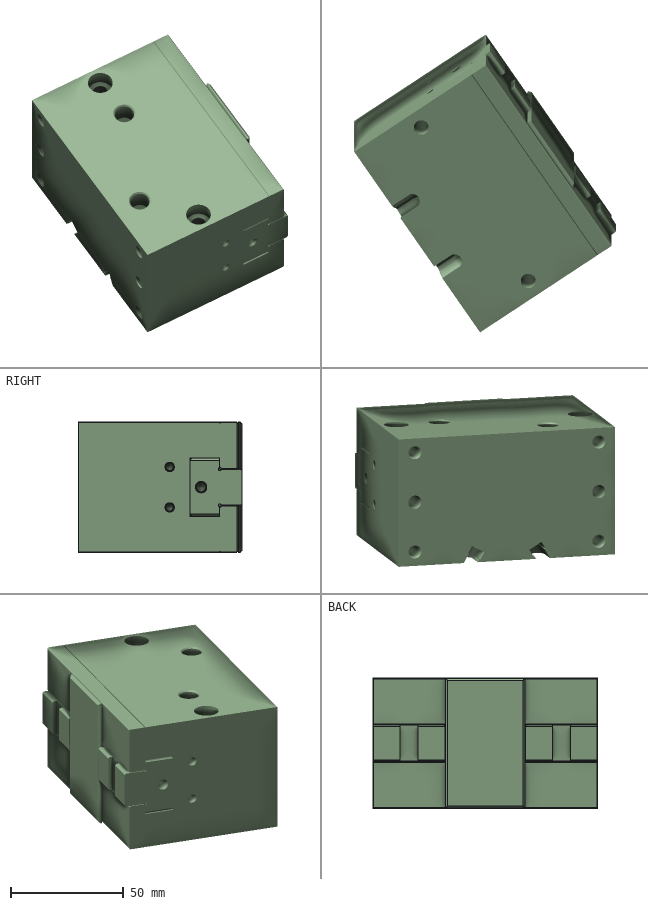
import cadquery as cq
import math


LENGTH = 100.0
DEPTH = 73.0
HEIGHT = 58.0

RAIL_FRONT_Y = 70.8
RAIL_BACK_Y = 63.0
SLOT_FLOOR_Y = 49.8
HEAD_HEIGHT = 26.0
NECK_HEIGHT = 16.0
NECK_GAP = 0.2
RAIL_CORNER_CHAMFER = 0.8
RAIL_EDGE_CHAMFER = 0.4

PLATE_LENGTH = 35.6
PLATE_FRONT_CHAMFER = 1.0
PLATE_BACK_CHAMFER = 0.6

JAW_LENGTH = 32.0
JAW_EDGE_CHAMFER = 0.6
HEAD_END_CHAMFER = 1.0
HEAD_CORNER_CHAMFER = 0.8
RELIEF_SIZE = 0.4
KEYWAY_WIDTH = 8.0
KEYWAY_START = 12.0
JAW_HOLE_Y = 54.7
JAW_HOLE_DIAMETER = 4.2
JAW_HOLE_MOUTH = 5.0
JAW_HOLE_DEPTH = 10.0

FACE_HOLE_X = 42.5
FACE_HOLE_Z = 22.6
FACE_THREAD_DIAMETER = 5.0
FACE_HOLE_DIAMETER = 6.0
FACE_HOLE_DEPTH = 12.0

BOLT_HOLE_Y = 31.0
BOLT_HOLE_DIAMETER = 6.6
BOLT_HEAD_DIAMETER = 11.0
BOLT_HEAD_DEPTH = 6.8

PORT_DIAMETER = 8.6
PORT_MOUTH = 9.8
PORT_DEPTH = 9.0
PASSAGE_DIAMETER = 3.0
PASSAGE_DEPTH = 15.0
PORT_X = 22.5
LEFT_PORT_Y = 31.5
RIGHT_PORT_Y = 12.5
RIGHT_PASSAGE_SHIFT = -2.8

END_HOLE_Y = 40.7
END_HOLE_Z = 9.0
END_HOLE_DIAMETER = 3.3
END_HOLE_MOUTH = 4.1
END_HOLE_DEPTH = 10.0

SENSOR_X = 16.7
SENSOR_TILT = 30.0
SENSOR_WIDTH = 5.6
SENSOR_END_WIDTH = 6.5
SENSOR_SLOT_LENGTH = 6.9
SENSOR_END_LENGTH = 3.7
SENSOR_SLOT_DEPTH = 12.0

DRILL_POINT_ANGLE = 118.0


def box(x_range, y_range, z_range):
    """Box between two limits along each axis."""
    size = [high - low for low, high in (x_range, y_range, z_range)]
    corner = cq.Vector(x_range[0], y_range[0], z_range[0])
    return cq.Workplane(cq.Solid.makeBox(*size, corner))


def cylinder(start, direction, diameter, length):
    """Cylinder that runs from a start point along a direction."""
    return cq.Workplane(cq.Solid.makeCylinder(diameter / 2, length, cq.Vector(start), cq.Vector(direction)))


def drilled_hole(start, direction, diameter, depth, mouth=None):
    """Horizontal blind hole with a drill point, countersunk at 45 degrees if it has a mouth diameter."""
    radius = diameter / 2
    point_length = radius / math.tan(math.radians(DRILL_POINT_ANGLE / 2))
    outline = [(0, 0), (radius, 0), (radius, depth), (0, depth + point_length)]
    if mouth:
        mouth_radius = mouth / 2
        outline[1:2] = [(mouth_radius, 0), (radius, mouth_radius - radius)]
    axis = cq.Vector(direction)
    across = cq.Vector(0, 0, 1)
    plane = cq.Plane(origin=start, xDir=across, normal=across.cross(axis))
    return cq.Workplane(plane).polyline(outline).close().revolve(360, (0, 0), (0, 1))


def make_block():
    """Housing block with its rails and the T-slot between them."""
    half_length = LENGTH / 2
    half_height = HEIGHT / 2
    half_head = HEAD_HEIGHT / 2
    half_gap = NECK_HEIGHT / 2 + NECK_GAP
    block = box((-half_length, half_length), (0, RAIL_FRONT_Y), (-half_height, half_height))
    slot = (
        cq.Workplane("YZ", origin=(-half_length, 0, 0))
        .polyline([
            (SLOT_FLOOR_Y, 0),
            (SLOT_FLOOR_Y, half_head),
            (RAIL_BACK_Y, half_head),
            (RAIL_BACK_Y, half_gap + RAIL_CORNER_CHAMFER),
            (RAIL_BACK_Y + RAIL_CORNER_CHAMFER, half_gap),
            (RAIL_FRONT_Y - RAIL_EDGE_CHAMFER, half_gap),
            (RAIL_FRONT_Y, half_gap + RAIL_EDGE_CHAMFER),
            (RAIL_FRONT_Y, 0),
        ])
        .close()
        .extrude(LENGTH)
    )
    for cutter in (slot, rail_edge_chamfers()):
        block = block.cut(cutter).cut(cutter.mirror("XY"))
    return block


def rail_edge_chamfers():
    """Bevels along the outer back and front edges of the upper rail; the back one leaves a notch."""
    half_height = HEIGHT / 2
    bevels = cq.Workplane("YZ", origin=(-LENGTH / 2, 0, 0))
    for edge_y, inward in ((RAIL_BACK_Y, 1), (RAIL_FRONT_Y, -1)):
        bevels = bevels.polyline([
            (edge_y, half_height),
            (edge_y + inward * RAIL_EDGE_CHAMFER, half_height),
            (edge_y, half_height - RAIL_EDGE_CHAMFER),
        ]).close()
    return bevels.extrude(LENGTH)


def make_stop_plate():
    """Plate across the slot that joins the two rails, chamfered on its front and back edges."""
    half_plate = PLATE_LENGTH / 2
    plate = box((-half_plate, half_plate), (RAIL_FRONT_Y, DEPTH), (-HEIGHT / 2, HEIGHT / 2))
    return plate.faces(">Y").chamfer(PLATE_FRONT_CHAMFER).faces("<Y").chamfer(PLATE_BACK_CHAMFER)


def face_holes():
    """Two columns of holes in the mounting face: threaded, plain, threaded."""
    holes = []
    for x in (-FACE_HOLE_X, FACE_HOLE_X):
        holes.append(drilled_hole((x, 0, 0), (0, 1, 0), FACE_HOLE_DIAMETER, FACE_HOLE_DEPTH))
        for z in (-FACE_HOLE_Z, FACE_HOLE_Z):
            holes.append(drilled_hole(
                (x, 0, z), (0, 1, 0), FACE_THREAD_DIAMETER, FACE_HOLE_DEPTH, FACE_HOLE_DIAMETER
            ))
    return holes


def bolt_holes():
    """Through holes along Z, counterbored from the top."""
    holes = []
    for x in (-FACE_HOLE_X, FACE_HOLE_X):
        top = (x, BOLT_HOLE_Y, HEIGHT / 2)
        holes.append(cylinder(top, (0, 0, -1), BOLT_HOLE_DIAMETER, HEIGHT))
        holes.append(cylinder(top, (0, 0, -1), BOLT_HEAD_DIAMETER, BOLT_HEAD_DEPTH))
    return holes


def port(x, y, passage_shift):
    """Flat-bottomed port with a countersunk mouth and a narrow passage below it."""
    top = HEIGHT / 2
    countersink_depth = (PORT_MOUTH - PORT_DIAMETER) / 2
    countersink = cq.Workplane(cq.Solid.makeCone(
        PORT_MOUTH / 2, PORT_DIAMETER / 2, countersink_depth, cq.Vector(x, y, top), cq.Vector(0, 0, -1)
    ))
    bore = cylinder((x, y, top), (0, 0, -1), PORT_DIAMETER, PORT_DEPTH)
    passage = cylinder((x, y + passage_shift, top), (0, 0, -1), PASSAGE_DIAMETER, PASSAGE_DEPTH)
    return [countersink, bore, passage]


def end_holes():
    """Pair of threaded holes in each end face."""
    holes = []
    for side in (-1, 1):
        for z in (-END_HOLE_Z, END_HOLE_Z):
            start = (side * LENGTH / 2, END_HOLE_Y, z)
            holes.append(drilled_hole(
                start, (-side, 0, 0), END_HOLE_DIAMETER, END_HOLE_DEPTH, END_HOLE_MOUTH
            ))
    return holes


def slanted_slot(start, inward, width, length):
    """Slot of a given length along a slanted direction, with a round end inside the housing."""
    across = inward.cross(cq.Vector(0, 1, 0))
    straight_depth = SENSOR_SLOT_DEPTH - width / 2
    profile = (
        cq.Workplane(cq.Plane(origin=start, xDir=across, normal=inward))
        .moveTo(-width / 2, 0)
        .lineTo(width / 2, 0)
        .lineTo(width / 2, -straight_depth)
        .threePointArc((0, -SENSOR_SLOT_DEPTH), (-width / 2, -straight_depth))
        .close()
    )
    return profile.extrude(length)


def sensor_slots():
    """Slots from the bottom face, leaning towards the middle and wider at their inner end."""
    tilt = math.radians(SENSOR_TILT)
    slots = []
    for side in (-1, 1):
        mouth = cq.Vector(side * SENSOR_X, 0, -HEIGHT / 2)
        inward = cq.Vector(-side * math.sin(tilt), 0, math.cos(tilt))
        start = mouth - inward * SENSOR_WIDTH
        end_start = mouth + inward * (SENSOR_SLOT_LENGTH - SENSOR_END_LENGTH)
        slots.append(slanted_slot(start, inward, SENSOR_WIDTH, SENSOR_WIDTH + SENSOR_SLOT_LENGTH))
        slots.append(slanted_slot(end_start, inward, SENSOR_END_WIDTH, SENSOR_END_LENGTH))
    return slots


def make_housing():
    """Housing block with the stop plate and all its holes."""
    housing = make_block().union(make_stop_plate())
    ports = port(-PORT_X, LEFT_PORT_Y, 0) + port(PORT_X, RIGHT_PORT_Y, RIGHT_PASSAGE_SHIFT)
    for cutter in face_holes() + bolt_holes() + ports + end_holes() + sensor_slots():
        housing = housing.cut(cutter)
    return housing


def head_end_chamfers(outer_x, half_head):
    """Wedges that bevel the upper and lower edges of the head at the jaw's outer end."""
    wedge = (
        cq.Workplane("XZ", origin=(0, SLOT_FLOOR_Y, 0))
        .polyline([
            (outer_x, half_head),
            (outer_x + HEAD_END_CHAMFER, half_head),
            (outer_x, half_head - HEAD_END_CHAMFER),
        ])
        .close()
        .extrude(SLOT_FLOOR_Y - RAIL_BACK_Y)
    )
    return wedge.union(wedge.mirror("XY"))


def make_left_jaw():
    """T-shaped jaw whose outer end is flush with the housing."""
    outer_x = -LENGTH / 2
    half_head = HEAD_HEIGHT / 2
    half_neck = NECK_HEIGHT / 2
    half_outline = [
        (SLOT_FLOOR_Y, half_head - HEAD_CORNER_CHAMFER),
        (SLOT_FLOOR_Y + HEAD_CORNER_CHAMFER, half_head),
        (RAIL_BACK_Y, half_head),
        (RAIL_BACK_Y, half_neck + RELIEF_SIZE),
        (RAIL_BACK_Y - RELIEF_SIZE, half_neck + RELIEF_SIZE),
        (RAIL_BACK_Y - RELIEF_SIZE, half_neck - RELIEF_SIZE),
        (RAIL_BACK_Y + RELIEF_SIZE, half_neck - RELIEF_SIZE),
        (RAIL_BACK_Y + RELIEF_SIZE, half_neck),
        (DEPTH - JAW_EDGE_CHAMFER, half_neck),
        (DEPTH, half_neck - JAW_EDGE_CHAMFER),
    ]
    other_half = [(y, -z) for y, z in reversed(half_outline)]
    jaw = (
        cq.Workplane("YZ", origin=(outer_x, 0, 0))
        .polyline(half_outline + other_half)
        .close()
        .extrude(JAW_LENGTH)
    )
    jaw = jaw.cut(head_end_chamfers(outer_x, half_head))
    keyway_x = outer_x + KEYWAY_START
    jaw = jaw.cut(box((keyway_x, keyway_x + KEYWAY_WIDTH), (RAIL_FRONT_Y, DEPTH), (-half_neck, half_neck)))
    hole_start = (outer_x, JAW_HOLE_Y, 0)
    return jaw.cut(drilled_hole(hole_start, (1, 0, 0), JAW_HOLE_DIAMETER, JAW_HOLE_DEPTH, JAW_HOLE_MOUTH))


housing = make_housing()
left_jaw = make_left_jaw()
right_jaw = left_jaw.mirror("YZ")

result = cq.Compound.makeCompound([housing.val(), left_jaw.val(), right_jaw.val()])